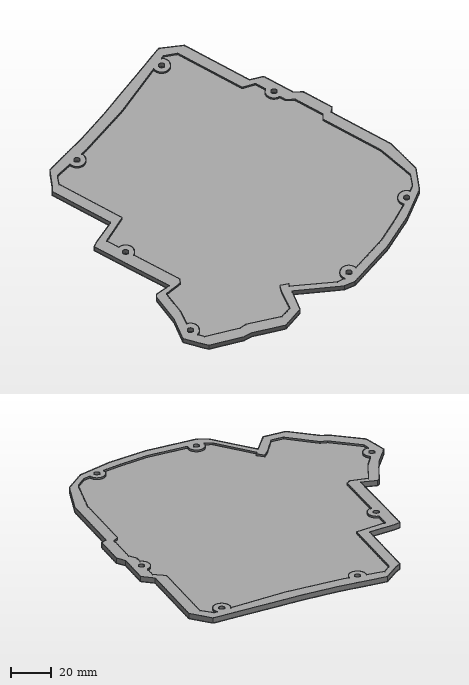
import cadquery as cq

LENGTH_X = 166.1
LENGTH_Y = 165.6
THICKNESS = 3.0
POCKET_DEPTH = 1.0

HOLE_DIAMETER = 3.0
BOSS_DIAMETER = 9.0

UPPER_EDGE_Y = 162.6
UPPER_LEFT_EDGE_Y = 156.8
LOWER_LEFT_EDGE_Y = 41.5
POCKET_UPPER_Y = 156.5
POCKET_UPPER_LEFT_Y = 150.7
POCKET_LOWER_LEFT_Y = 47.3

OUTER_EDGE = [
    (0, 148.0),
    (9.1, UPPER_LEFT_EDGE_Y),
    (48.3, UPPER_LEFT_EDGE_Y),
    (52.8, UPPER_EDGE_Y),
    (70.5, UPPER_EDGE_Y),
    (74.6, LENGTH_Y),
    (91.9, LENGTH_Y),
    (93.2, UPPER_EDGE_Y),
    (129.2, UPPER_EDGE_Y),
    (148.5, 156.7),
    (157.8, 146.4),
    (163.1, 128.0),
    (LENGTH_X, 106.8),
    (LENGTH_X, 78.9),
    (163.5, 73.6),
    (144.2, 56.2),
    (154.3, 48.7),
    (154.5, 36.2),
    (143.5, 22.5),
    (141.9, 18.1),
    (130.9, 3.7),
    (127.1, 2.5),
    (118.0, 0),
    (107.2, 7.8),
    (91.9, 14.6),
    (90.7, 16.1),
    (92.7, 24.5),
    (70.1, 24.1),
    (47.8, 24.0),
    (47.0, 27.2),
    (45.5, LOWER_LEFT_EDGE_Y),
    (10.3, LOWER_LEFT_EDGE_Y),
    (8.6, 44.2),
    (1.3, 52.5),
    (1.7, 62.0),
    (2.2, 71.3),
    (2.5, 78.9),
    (2.3, 97.2),
    (2.0, 104.8),
    (1.5, 114.1),
    (1.2, 122.5),
    (0.8, 130.0),
    (0, 145.9),
]

POCKET_EDGE = [
    (4.7, 145.4),
    (9.5, POCKET_UPPER_LEFT_Y),
    (48.2, POCKET_UPPER_LEFT_Y),
    (52.2, POCKET_UPPER_Y),
    (70.1, POCKET_UPPER_Y),
    (74.1, 159.3),
    (90.9, 159.3),
    (92.7, POCKET_UPPER_Y),
    (127.5, POCKET_UPPER_Y),
    (148.5, 151.8),
    (153.5, 146.5),
    (157.2, 133.2),
    (159.2, 123.0),
    (161.3, 108.3),
    (161.3, 78.9),
    (159.2, 73.8),
    (141.4, 58.0),
    (140.2, 59.1),
    (137.2, 55.7),
    (140.5, 52.7),
    (149.7, 46.5),
    (149.7, 39.7),
    (138.0, 25.5),
    (137.0, 21.6),
    (126.0, 7.1),
    (120.3, 5.8),
    (117.1, 7.0),
    (107.3, 13.6),
    (94.5, 19.3),
    (96.2, 28.9),
    (94.5, 30.9),
    (50.7, 30.5),
    (48.3, POCKET_LOWER_LEFT_Y),
    (10.5, POCKET_LOWER_LEFT_Y),
    (6.5, 51.5),
    (8.5, 73.1),
    (8.5, 104.7),
]

SCREW_POINTS = [
    (7.5, 139.7),
    (62.5, 157.7),
    (155.7, 138.4),
    (160.1, 82.2),
    (117.8, 6.6),
    (62.5, 30.0),
    (8.5, 65.5),
]


def make_plate():
    """Full-thickness plate with the outer edge."""
    return cq.Workplane("XY").polyline(OUTER_EDGE).close().extrude(THICKNESS)


def make_pocket():
    """Volume removed from the top face, leaving a round boss at every screw."""
    floor = cq.Workplane("XY").workplane(offset=THICKNESS - POCKET_DEPTH)
    pocket = floor.polyline(POCKET_EDGE).close().extrude(POCKET_DEPTH)
    bosses = floor.pushPoints(SCREW_POINTS).circle(BOSS_DIAMETER / 2).extrude(POCKET_DEPTH)
    return pocket.cut(bosses)


def make_screw_holes():
    """Through holes at the centres of the bosses."""
    return cq.Workplane("XY").pushPoints(SCREW_POINTS).circle(HOLE_DIAMETER / 2).extrude(THICKNESS)


result = make_plate().cut(make_pocket()).cut(make_screw_holes())